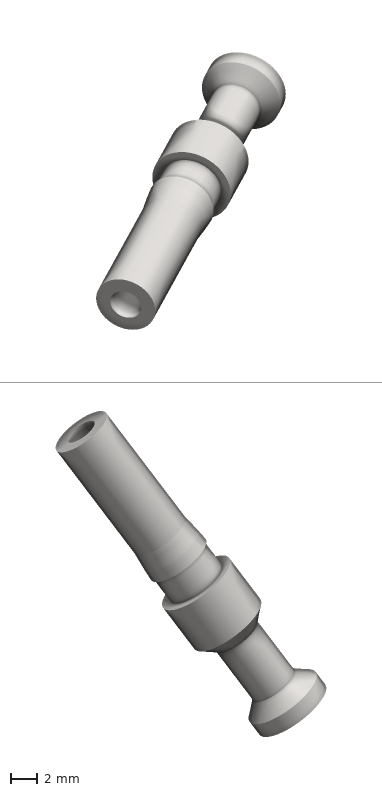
import cadquery as cq
import math

head_diameter = 6.3
waist_diameter = 3.9
neck_diameter = 4.8
collar_diameter = 5.2
collar_middle_diameter = 5.05
tube_diameter = 4.75
bore_diameter = 2.5

total_length = 28.25
tube_end = 10.5
collar_middle = 12.0
collar_end = 13.0
collar_bevel_length = 0.05
shoulder_start = 15.37
shoulder_end = 19.55
head_thickness = 1.3

cone_length = (head_diameter - waist_diameter) / 2
head_start = total_length - head_thickness

bore_depth = 7.9
drill_point_angle = 118.0


def revolve_about_y(points):
    """Revolve a closed (radius, y) outline around the Y axis."""
    return cq.Workplane("XY").polyline(points).close().revolve(360, (0, 0, 0), (0, 1, 0))


def make_body():
    stations = [
        (tube_diameter, 0),
        (tube_diameter, tube_end),
        (collar_middle_diameter, collar_middle),
        (collar_diameter, collar_end),
        (neck_diameter, collar_end + collar_bevel_length),
        (neck_diameter, shoulder_start),
        (head_diameter, shoulder_start),
        (head_diameter, shoulder_end),
        (waist_diameter, shoulder_end + cone_length),
        (waist_diameter, head_start - cone_length),
        (head_diameter, head_start),
        (head_diameter, total_length),
    ]
    outline = [(diameter / 2, y) for diameter, y in stations]
    return revolve_about_y([(0, 0)] + outline + [(0, total_length)])


def make_bore():
    radius = bore_diameter / 2
    point_length = radius / math.tan(math.radians(drill_point_angle / 2))
    return revolve_about_y([
        (0, 0),
        (radius, 0),
        (radius, bore_depth),
        (0, bore_depth + point_length),
    ])


centred = (0, -total_length / 2, 0)
result = make_body().cut(make_bore()).translate(centred)